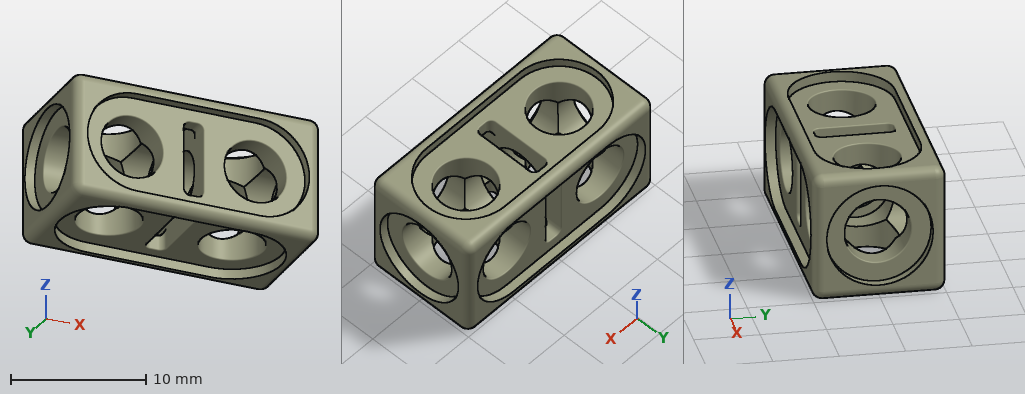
import cadquery as cq

cell = 10.0
length = 2 * cell
edge_radius = 0.8

recess_diameter = 8.0
recess_depth = 0.8

hole_diameter = 5.0
slot_width = 1.6
slot_length = 6.0
slot_corner_radius = 0.5
rim_radius = 0.1

side_floor = cell / 2 - recess_depth
end_floor = length / 2 - recess_depth
floor_tolerance = 0.0002
hole_centers = [(-cell / 2, 0), (cell / 2, 0)]


def rounded_block():
    return cq.Workplane("XY").box(length, cell, cell).edges().fillet(edge_radius)


def side_cutter():
    """Cutter along Z for two opposite long faces: recesses, two holes and the slot."""
    recess = (
        cq.Workplane("XY")
        .workplane(offset=side_floor)
        .slot2D(cell + recess_diameter, recess_diameter)
        .extrude(recess_depth)
    )
    holes = (
        cq.Workplane("XY")
        .pushPoints(hole_centers)
        .circle(hole_diameter / 2)
        .extrude(side_floor, both=True)
    )
    slot = (
        cq.Workplane("XY")
        .box(slot_width, slot_length, 2 * side_floor)
        .edges("|Z")
        .fillet(slot_corner_radius)
    )
    return recess.union(recess.mirror("XY")).union(holes).union(slot)


def end_cutter():
    """Cutter along X for the two end faces: recesses and the lengthwise hole."""
    recess = (
        cq.Workplane("YZ")
        .workplane(offset=end_floor)
        .circle(recess_diameter / 2)
        .extrude(recess_depth)
    )
    hole = cq.Workplane("YZ").circle(hole_diameter / 2).extrude(end_floor, both=True)
    return recess.union(recess.mirror("YZ")).union(hole)


def opening_rims(body):
    """Edges where the holes and slots meet the recess floors."""
    rims = []
    for face in body.faces("%PLANE").vals():
        center = face.Center()
        on_end_floor = abs(abs(center.x) - end_floor) < floor_tolerance
        on_side_floor = any(abs(abs(c) - side_floor) < floor_tolerance for c in (center.y, center.z))
        if on_end_floor or on_side_floor:
            for wire in face.innerWires():
                rims.extend(wire.Edges())
    return rims


vertical_cutter = side_cutter()
crosswise_cutter = vertical_cutter.rotate((0, 0, 0), (1, 0, 0), 90)

plain_body = rounded_block().cut(vertical_cutter).cut(crosswise_cutter).cut(end_cutter())
result = plain_body.newObject(opening_rims(plain_body)).fillet(rim_radius)